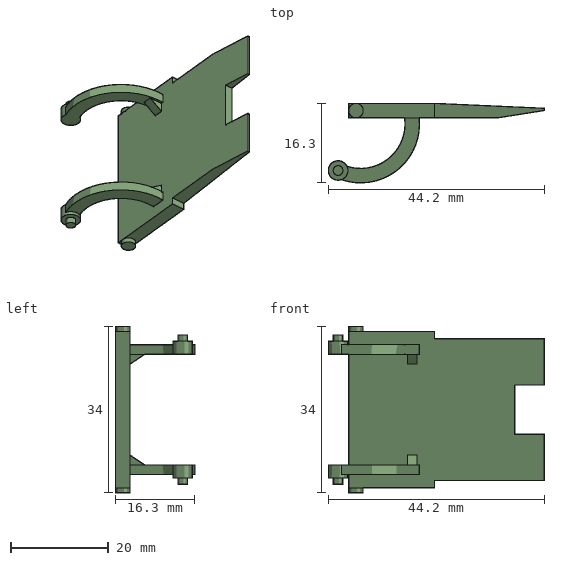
import cadquery as cq
import math

plate_length = 40.0
plate_thickness = 3.0
hinge_end_height = 32.0
tip_end_height = 29.0
shoulder_x = 17.55
bevel_start_x = 30.5
tip_front_y = 1.5
tip_back_y = 2.0
notch_depth = 6.0
notch_height = 10.0

hinge_pin_diameter = 2.97
hinge_pin_length = 1.0

arm_width = 3.0
arm_thickness = 2.0
arm_inner_z = 11.3
arm_mid_radius = 10.55
arm_outer_radius = arm_mid_radius + arm_width / 2
arm_inner_radius = arm_mid_radius - arm_width / 2
arc_center_x = 2.45
arc_center_y = -1.25
arm_sweep = 115.88

boss_diameter = 4.01
boss_outer_z = 14.0
boss_pin_diameter = 2.0
boss_pin_outer_z = 15.3

rib_start_x = 12.0
rib_width = 2.0
rib_reach = 3.0
rib_height = 2.0


def point_on_arc(radius, sweep):
    """Point on an arm arc, turned clockwise from +X by sweep degrees."""
    angle = math.radians(sweep)
    return (
        arc_center_x + radius * math.cos(angle),
        arc_center_y - radius * math.sin(angle),
    )


def root_sweep(radius):
    """Sweep at which an arm arc meets the -Y face of the plate."""
    return math.degrees(math.asin(arc_center_y / radius))


def cylinder(center, diameter, start_z, end_z):
    return (
        cq.Workplane("XY", origin=(0, 0, start_z))
        .center(*center)
        .circle(diameter / 2)
        .extrude(end_z - start_z)
    )


def make_plate():
    profile = [
        (0, 0),
        (bevel_start_x, 0),
        (plate_length, tip_front_y),
        (plate_length, tip_back_y),
        (shoulder_x, plate_thickness),
        (0, plate_thickness),
    ]
    plate = (
        cq.Workplane("XY")
        .polyline(profile)
        .close()
        .extrude(hinge_end_height / 2, both=True)
    )
    half_hinge_end = hinge_end_height / 2
    half_tip_end = tip_end_height / 2
    half_notch = notch_height / 2
    notch_x = plate_length - notch_depth
    outline = [
        (0, -half_hinge_end),
        (shoulder_x, -half_hinge_end),
        (shoulder_x, -half_tip_end),
        (plate_length, -half_tip_end),
        (plate_length, -half_notch),
        (notch_x, -half_notch),
        (notch_x, half_notch),
        (plate_length, half_notch),
        (plate_length, half_tip_end),
        (shoulder_x, half_tip_end),
        (shoulder_x, half_hinge_end),
        (0, half_hinge_end),
    ]
    silhouette = cq.Workplane("XZ").polyline(outline).close().extrude(-plate_thickness)
    return plate.intersect(silhouette)


def make_hinge_pin():
    """Upper hinge pin, standing on the plate edge and touching its -X edge."""
    center = (plate_thickness / 2, plate_thickness / 2)
    edge_z = hinge_end_height / 2
    return cylinder(center, hinge_pin_diameter, edge_z, edge_z + hinge_pin_length)


def make_arm():
    """Upper arm with its end boss and pin."""
    outer_root = root_sweep(arm_outer_radius)
    inner_root = root_sweep(arm_inner_radius)
    arm = (
        cq.Workplane("XY", origin=(0, 0, arm_inner_z))
        .moveTo(*point_on_arc(arm_outer_radius, outer_root))
        .threePointArc(
            point_on_arc(arm_outer_radius, (outer_root + arm_sweep) / 2),
            point_on_arc(arm_outer_radius, arm_sweep),
        )
        .lineTo(*point_on_arc(arm_inner_radius, arm_sweep))
        .threePointArc(
            point_on_arc(arm_inner_radius, (inner_root + arm_sweep) / 2),
            point_on_arc(arm_inner_radius, inner_root),
        )
        .close()
        .extrude(arm_thickness)
    )
    boss_center = point_on_arc(arm_mid_radius, arm_sweep)
    boss = cylinder(boss_center, boss_diameter, arm_inner_z, boss_outer_z)
    pin = cylinder(boss_center, boss_pin_diameter, boss_outer_z, boss_pin_outer_z)
    return arm.union(boss).union(pin)


def make_rib():
    """Rib under the upper arm, on the side facing the middle of the plate."""
    return (
        cq.Workplane("YZ", origin=(rib_start_x, 0, 0))
        .moveTo(0, arm_inner_z)
        .lineTo(-rib_reach, arm_inner_z)
        .lineTo(0, arm_inner_z - rib_height)
        .close()
        .extrude(rib_width)
    )


result = make_plate()
for upper_feature in (make_hinge_pin(), make_arm(), make_rib()):
    result = result.union(upper_feature)
    result = result.union(upper_feature.mirror("XY"))